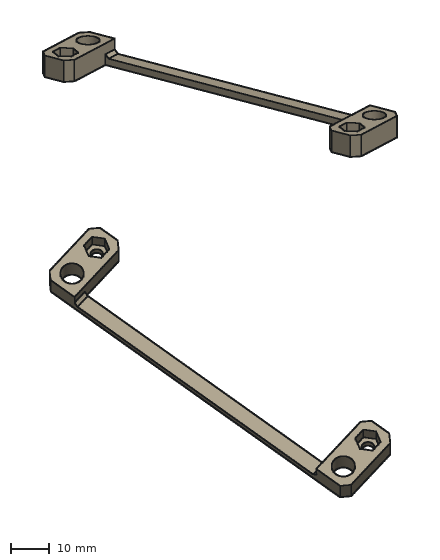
import cadquery as cq

length = 100.0
depth = 20.0
height = 6.0

pad_width = 9.9
corner_chamfer = 2.0
hole_inset = 5.0

rod_hole_diameter = 6.0
screw_hole_diameter = 3.4
nut_across_corners = 6.6
nut_pocket_depth = 4.0

bar_width = 4.2
bar_thickness = 2.0
gusset_size = 1.0

pad_center_x = (length - pad_width) / 2
hole_center_x = length / 2 - hole_inset
pad_inner_x = length / 2 - pad_width
back_y = depth / 2
rod_hole_y = back_y - hole_inset
screw_hole_y = -back_y + hole_inset


def make_pad(side):
    """End pad with three chamfered corners; side is -1 (left) or +1 (right)."""
    center_x = side * pad_center_x
    hole_x = side * hole_center_x
    pad = cq.Workplane("XY").box(pad_width, depth, height, centered=(True, True, False))
    outer_edges = "|Z and >X" if side > 0 else "|Z and <X"
    pad = pad.edges(f"({outer_edges}) or (|Z and <Y)").chamfer(corner_chamfer)
    pad = pad.translate((center_x, 0, 0))

    rod_hole = (
        cq.Workplane("XY").center(hole_x, rod_hole_y)
        .circle(rod_hole_diameter / 2).extrude(height)
    )
    screw_hole = (
        cq.Workplane("XY").center(hole_x, screw_hole_y)
        .circle(screw_hole_diameter / 2).extrude(height)
    )
    nut_pocket = (
        cq.Workplane("XY").polygon(6, nut_across_corners).extrude(nut_pocket_depth)
        .rotate((0, 0, 0), (0, 0, 1), 90)
        .translate((hole_x, screw_hole_y, height - nut_pocket_depth))
    )
    return pad.cut(rod_hole).cut(screw_hole).cut(nut_pocket)


def make_bar():
    """Flat bar along the back edge, rising to the pads at both ends."""
    slope_start_x = pad_inner_x - gusset_size
    slope_top_z = bar_thickness + gusset_size
    profile = [
        (-pad_inner_x, 0),
        (pad_inner_x, 0),
        (pad_inner_x, slope_top_z),
        (slope_start_x, bar_thickness),
        (-slope_start_x, bar_thickness),
        (-pad_inner_x, slope_top_z),
    ]
    return cq.Workplane("XZ", origin=(0, back_y, 0)).polyline(profile).close().extrude(bar_width)


result = make_bar().union(make_pad(-1)).union(make_pad(1))